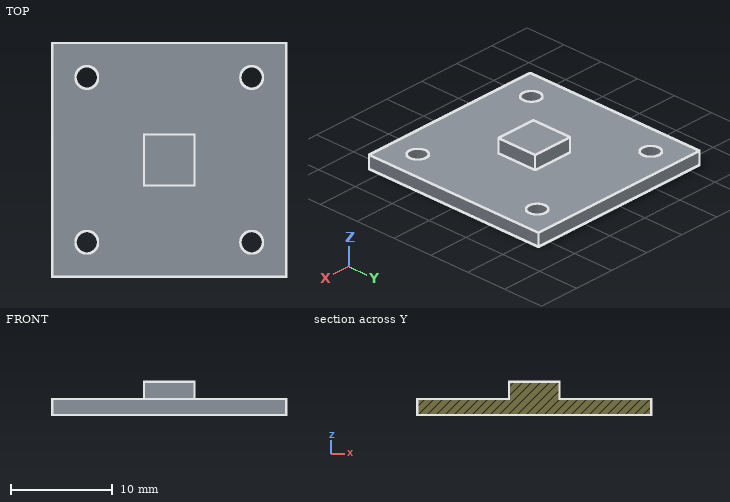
import cadquery as cq

plate_side = 23.0
plate_thickness = 1.6

block_side = 5.0
overall_height = 3.3
block_height = overall_height - plate_thickness

hole_diameter = 2.2
hole_spacing = 16.2


def make_plate():
    """Square plate with its underside on Z = 0, centred on the Z axis."""
    return cq.Workplane("XY").box(
        plate_side, plate_side, plate_thickness, centered=(True, True, False)
    )


def drill_corner_holes(plate):
    """Cut the four through holes on a square pattern."""
    return (
        plate.faces(">Z")
        .workplane()
        .rect(hole_spacing, hole_spacing, forConstruction=True)
        .vertices()
        .hole(hole_diameter)
    )


def make_block():
    """Square block resting on the top face of the plate."""
    return (
        cq.Workplane("XY")
        .workplane(offset=plate_thickness)
        .box(block_side, block_side, block_height, centered=(True, True, False))
    )


result = drill_corner_holes(make_plate()).union(make_block())